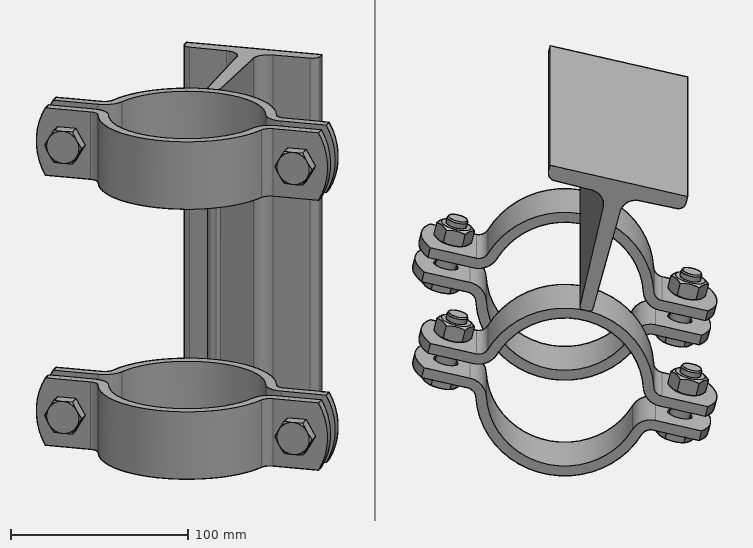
import cadquery as cq
import math

RAIL_LENGTH = 200.0

TEE_WIDTH = 80.0
TEE_HEIGHT = 80.0
FLANGE_THICKNESS = 8.8
WEB_THICKNESS = 9.0
TEE_TAPER = 0.02
ROOT_RADIUS = WEB_THICKNESS
FLANGE_TOE_RADIUS = ROOT_RADIUS / 2
WEB_TIP_RADIUS = 2.0

STRAP_WIDTH = 40.0
STRAP_THICKNESS = 6.0
RING_OUTER_RADIUS = 50.5
BEND_RADIUS = 6.0
LUG_GAP = 9.0
CLAMP_SPAN = 172.0
LUG_END_RADIUS = 40.0

BOLT_OFFSET = 68.0
HOLE_DIAMETER = 14.0
SHANK_DIAMETER = 12.0
SHANK_TIP_DIAMETER = 11.0
SHANK_TIP_CHAMFER = 1.0
SHANK_LENGTH = 35.0
HEX_ACROSS_FLATS = 19.0
HEX_HALF_ANGLE = 30.0
HEX_CHAMFER_ANGLE = 30.0
HEAD_HEIGHT = 7.5
HEAD_FACE_DIAMETER = HEX_ACROSS_FLATS
NUT_HEIGHT = 10.0
NUT_FACE_DIAMETER = 17.2

RING_INNER_RADIUS = RING_OUTER_RADIUS - STRAP_THICKNESS
LUG_INNER_Y = LUG_GAP / 2
LUG_OUTER_Y = LUG_INNER_Y + STRAP_THICKNESS
HALF_SPAN = CLAMP_SPAN / 2
HEX_ACROSS_CORNERS = HEX_ACROSS_FLATS / math.cos(math.radians(HEX_HALF_ANGLE))
CLAMP_BOTTOMS = (0.0, RAIL_LENGTH - STRAP_WIDTH)


def mirror_x(points):
    """Mirror a path about the Y axis and reverse it."""
    return [(-x, y) for x, y in reversed(points)]


def polar(center, radius, angle):
    return (center[0] + radius * math.cos(angle), center[1] + radius * math.sin(angle))


def make_tee_rail():
    """Tee section whose web tip rests on the outside of the clamp rings."""
    tip_y = RING_OUTER_RADIUS
    back_y = tip_y + TEE_HEIGHT
    half_width = TEE_WIDTH / 2

    root_y = back_y - FLANGE_THICKNESS - TEE_TAPER * TEE_WIDTH / 4
    toe_y = root_y + TEE_TAPER * half_width
    tip_x = WEB_THICKNESS / 2 - TEE_TAPER * TEE_HEIGHT / 2
    corner_x = (tip_x + TEE_TAPER * (root_y - tip_y)) / (1 - TEE_TAPER**2)
    corner_y = root_y + TEE_TAPER * corner_x

    right_side = [(tip_x, tip_y), (corner_x, corner_y), (half_width, toe_y), (half_width, back_y)]
    rail = cq.Workplane("XY").polyline(right_side + mirror_x(right_side)).close().extrude(RAIL_LENGTH)

    rounded_corners = (
        ((tip_x, tip_y), WEB_TIP_RADIUS),
        ((corner_x, corner_y), ROOT_RADIUS),
        ((half_width, toe_y), FLANGE_TOE_RADIUS),
    )
    for (x, y), radius in rounded_corners:
        for side in (-1, 1):
            corner_edge = cq.selectors.NearestToPointSelector((side * x, y, RAIL_LENGTH / 2))
            rail = rail.edges("|Z").edges(corner_edge).fillet(radius)
    return rail


def make_strap_band():
    """Bent strip of one strap half: half ring, two bends and two square-ended lugs."""
    bend_y = LUG_OUTER_Y + BEND_RADIUS
    bend_x = math.sqrt((RING_OUTER_RADIUS + BEND_RADIUS) ** 2 - bend_y**2)
    bend_center = (bend_x, bend_y)
    tangent_angle = math.atan2(bend_y, bend_x)
    bend_middle_angle = (tangent_angle - 1.5 * math.pi) / 2

    def face_points(ring_radius, bend_radius):
        """Bend start, bend middle and bend end on the ring, for the +X side."""
        return [
            (bend_x, bend_y - bend_radius),
            polar(bend_center, bend_radius, bend_middle_angle),
            polar((0, 0), ring_radius, tangent_angle),
        ]

    inner_bend = face_points(RING_INNER_RADIUS, BEND_RADIUS + STRAP_THICKNESS)
    outer_bend = face_points(RING_OUTER_RADIUS, BEND_RADIUS)
    inner_bend_left = mirror_x(inner_bend)
    outer_bend_left = mirror_x(outer_bend)

    return (
        cq.Workplane("XY")
        .moveTo(HALF_SPAN, LUG_INNER_Y)
        .lineTo(*inner_bend[0])
        .threePointArc(*inner_bend[1:])
        .threePointArc((0, RING_INNER_RADIUS), inner_bend_left[0])
        .threePointArc(*inner_bend_left[1:])
        .lineTo(-HALF_SPAN, LUG_INNER_Y)
        .lineTo(-HALF_SPAN, LUG_OUTER_Y)
        .lineTo(*outer_bend_left[2])
        .threePointArc(outer_bend_left[1], outer_bend_left[0])
        .threePointArc((0, RING_OUTER_RADIUS), outer_bend[2])
        .threePointArc(outer_bend[1], outer_bend[0])
        .lineTo(HALF_SPAN, LUG_OUTER_Y)
        .close()
        .extrude(STRAP_WIDTH)
    )


def make_lug_end_envelope():
    """Plate with arc-shaped ends that rounds off the lugs when intersected with the band."""
    half_width = STRAP_WIDTH / 2
    corner_x = HALF_SPAN - LUG_END_RADIUS + math.sqrt(LUG_END_RADIUS**2 - half_width**2)
    return (
        cq.Workplane("XZ")
        .moveTo(-corner_x, 0)
        .lineTo(corner_x, 0)
        .threePointArc((HALF_SPAN, half_width), (corner_x, STRAP_WIDTH))
        .lineTo(-corner_x, STRAP_WIDTH)
        .threePointArc((-HALF_SPAN, half_width), (-corner_x, 0))
        .close()
        .extrude(RING_OUTER_RADIUS, both=True)
    )


def make_strap_half():
    """Strap half on the +Y side, with a clearance hole in each lug."""
    holes = (
        cq.Workplane("XZ")
        .pushPoints([(-BOLT_OFFSET, STRAP_WIDTH / 2), (BOLT_OFFSET, STRAP_WIDTH / 2)])
        .circle(HOLE_DIAMETER / 2)
        .extrude(-RING_OUTER_RADIUS)
    )
    return make_strap_band().intersect(make_lug_end_envelope()).cut(holes)


def revolve_about_y(profile):
    return cq.Workplane("XY").polyline(profile).close().revolve(360, (0, 0), (0, 1))


def make_hexagon(start_y, height):
    """Hexagonal prism along +Y with two corners on the X axis."""
    return (
        cq.Workplane("XZ", origin=(0, start_y, 0))
        .polygon(6, HEX_ACROSS_CORNERS)
        .extrude(-height)
    )


def corner_chamfer_height(face_diameter):
    """Axial height of the corner chamfer that leaves a round face of the given diameter."""
    return (HEX_ACROSS_CORNERS - face_diameter) / 2 * math.tan(math.radians(HEX_CHAMFER_ANGLE))


def make_bolt_head():
    """Hexagon head below the -Y lug, chamfered on its free face."""
    free_y = -LUG_OUTER_Y - HEAD_HEIGHT
    corner_radius = HEX_ACROSS_CORNERS / 2
    envelope = revolve_about_y([
        (0, free_y),
        (HEAD_FACE_DIAMETER / 2, free_y),
        (corner_radius, free_y + corner_chamfer_height(HEAD_FACE_DIAMETER)),
        (corner_radius, -LUG_OUTER_Y),
        (0, -LUG_OUTER_Y),
    ])
    return make_hexagon(free_y, HEAD_HEIGHT).intersect(envelope)


def make_nut():
    """Hexagon nut on the +Y lug, chamfered on both faces."""
    top_y = LUG_OUTER_Y + NUT_HEIGHT
    corner_radius = HEX_ACROSS_CORNERS / 2
    chamfer = corner_chamfer_height(NUT_FACE_DIAMETER)
    envelope = revolve_about_y([
        (0, LUG_OUTER_Y),
        (NUT_FACE_DIAMETER / 2, LUG_OUTER_Y),
        (corner_radius, LUG_OUTER_Y + chamfer),
        (corner_radius, top_y - chamfer),
        (NUT_FACE_DIAMETER / 2, top_y),
        (0, top_y),
    ])
    return make_hexagon(LUG_OUTER_Y, NUT_HEIGHT).intersect(envelope)


def make_shank():
    """Round shank from the head through both lugs and the nut, chamfered at its tip."""
    tip_y = SHANK_LENGTH - LUG_OUTER_Y
    return revolve_about_y([
        (0, -LUG_OUTER_Y),
        (SHANK_DIAMETER / 2, -LUG_OUTER_Y),
        (SHANK_DIAMETER / 2, tip_y - SHANK_TIP_CHAMFER),
        (SHANK_TIP_DIAMETER / 2, tip_y),
        (0, tip_y),
    ])


def make_bolt_with_nut():
    return make_shank().union(make_bolt_head()).union(make_nut())


def make_clamp():
    """One clamp standing on Z = 0: two strap halves joined by two bolts as a single solid."""
    back_half = make_strap_half()
    front_half = back_half.mirror("XZ")
    bolt = make_bolt_with_nut()
    joined = back_half
    for side in (-1, 1):
        joined = joined.union(bolt.translate((side * BOLT_OFFSET, 0, STRAP_WIDTH / 2)))
    return joined.union(front_half)


tee_rail = make_tee_rail()
clamp = make_clamp()
clamps = [clamp.translate((0, 0, bottom_z)) for bottom_z in CLAMP_BOTTOMS]

result = cq.Compound.makeCompound([tee_rail.solids().val(), *[placed.solids().val() for placed in clamps]])